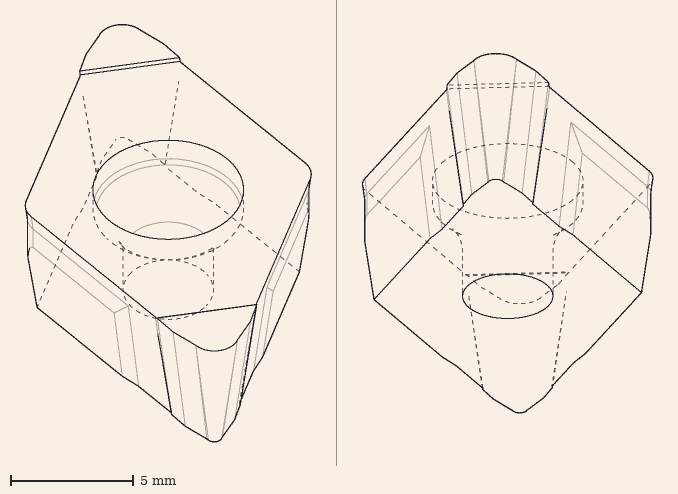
import cadquery as cq
import math

height = 5.53
tip_rise = 0.11
body_top = height - tip_rise
inradius = 5.4
clearance_angle = 7
acute_half_angle = math.radians(27.5)
tip_direction = 117.5
corner_radius = 1.11

pad_top = 4.72
pad_shoulder = 3.71
pad_reach = 6.78
pad_ramp = 0.91

nose_end = 10.35
nose_tangent = (9.82, 0.87)
flank_kink = (8.82, 1.62)
flank_end = (7.85, 2.08)
tip_blend = 7.6
tip_root = (5.57, 1.49)
step_position = 7.73

hole_diameter = 3.7
bore_diameter = 6.17
bore_depth = 1.0
lip_radius = 0.28
seat_radius = 2.6

taper_slope = math.tan(math.radians(clearance_angle))
body_trim = tip_blend + height * taper_slope


def rounded_rhombus(side_distance, top, radius):
    """Outline with rounded obtuse corners and trimmed acute ones; X is the long diagonal."""
    apex = side_distance / math.sin(acute_half_angle)
    corner = side_distance / math.cos(acute_half_angle)
    tangent_length = radius * math.tan(acute_half_angle)
    arc_x = tangent_length * math.cos(acute_half_angle)
    arc_y = corner - tangent_length * math.sin(acute_half_angle)
    arc_peak = corner - radius / math.cos(acute_half_angle) + radius
    trim_y = (apex - body_trim) * math.tan(acute_half_angle)
    return (
        cq.Workplane("XY", origin=(0, 0, top))
        .moveTo(body_trim, -trim_y)
        .lineTo(body_trim, trim_y)
        .lineTo(arc_x, arc_y)
        .threePointArc((0, arc_peak), (-arc_x, arc_y))
        .lineTo(-body_trim, trim_y)
        .lineTo(-body_trim, -trim_y)
        .lineTo(-arc_x, -arc_y)
        .threePointArc((0, -arc_peak), (arc_x, -arc_y))
        .close()
    )


def extrude_down(outline, depth):
    return outline.extrude(-depth, taper=clearance_angle)


def make_body():
    return extrude_down(rounded_rhombus(inradius, body_top, corner_radius), body_top)


def make_pad():
    """Pad around the obtuse corner on the +Y end of the short diagonal."""
    inset = taper_slope * (body_top - pad_top)
    upright_distance = inradius - inset
    pad_height = taper_slope * (pad_top - pad_shoulder)
    outer_distance = upright_distance + pad_height

    corner = outer_distance / math.cos(acute_half_angle)
    along = (math.cos(acute_half_angle), -math.sin(acute_half_angle))
    inward = (-math.sin(acute_half_angle), -math.cos(acute_half_angle))

    def flank_point(reach, sink):
        return (reach * along[0] + sink * inward[0], corner + reach * along[1] + sink * inward[1])

    crest = flank_point(pad_reach - pad_ramp, 0)
    ramp_end = flank_point(pad_reach + pad_ramp, 2 * pad_height)
    buried = flank_point(pad_reach + pad_ramp, inradius / 2)
    right_side = [crest, ramp_end, buried]
    left_side = [(-x, y) for x, y in reversed(right_side)]
    outline = cq.Workplane("XY", origin=(0, 0, pad_top))
    outline = outline.polyline([(0, corner)] + right_side + left_side).close()
    upright = rounded_rhombus(upright_distance, pad_top, corner_radius - inset).extrude(-pad_top)
    return extrude_down(outline, pad_top).intersect(upright)


def make_tip():
    """Cutting tip on the +X end of the long diagonal."""
    apex = inradius / math.sin(acute_half_angle)
    blend = (tip_blend, (apex - tip_blend) * math.tan(acute_half_angle))
    flank = [tip_root, blend, flank_end, flank_kink, nose_tangent]
    mirrored = [(u, -v) for u, v in reversed(flank)]
    outline = cq.Workplane("XY", origin=(0, 0, height)).polyline(flank)
    outline = outline.threePointArc((nose_end, 0), mirrored[0])
    for point in mirrored[1:]:
        outline = outline.lineTo(*point)
    tip = extrude_down(outline.close(), height)

    step = [
        (0, body_top),
        (step_position, body_top),
        (step_position + tip_rise, height),
        (0, height),
    ]
    above_body = cq.Workplane("XZ").polyline(step).close().extrude(inradius, both=True)
    return tip.cut(above_body)


def make_hole():
    """Through hole below a bore, joined by a concave lip and a convex seat in one smooth S curve."""
    bore = bore_diameter / 2
    hole = hole_diameter / 2
    bore_floor = body_top - bore_depth
    turn_angle = math.acos(1 - (bore - hole) / (lip_radius + seat_radius))
    seat_centre = bore_floor - (lip_radius + seat_radius) * math.sin(turn_angle)

    def lip_point(angle):
        return (
            bore - lip_radius * (1 - math.cos(angle)),
            bore_floor - lip_radius * math.sin(angle),
        )

    def seat_point(angle):
        return (
            hole + seat_radius * (1 - math.cos(angle)),
            seat_centre + seat_radius * math.sin(angle),
        )

    profile = (
        cq.Workplane("XZ")
        .moveTo(0, body_top)
        .lineTo(bore, body_top)
        .lineTo(bore, bore_floor)
        .threePointArc(lip_point(turn_angle / 2), lip_point(turn_angle))
        .threePointArc(seat_point(turn_angle / 2), (hole, seat_centre))
        .lineTo(hole, 0)
        .lineTo(0, 0)
        .close()
    )
    return profile.revolve(360, (0, 0, 0), (0, 1, 0))


insert = make_body()
for turn in (0, 180):
    for feature in (make_pad(), make_tip()):
        insert = insert.union(feature.rotate((0, 0, 0), (0, 0, 1), turn))
insert = insert.cut(make_hole())

result = insert.rotate((0, 0, 0), (0, 0, 1), tip_direction)